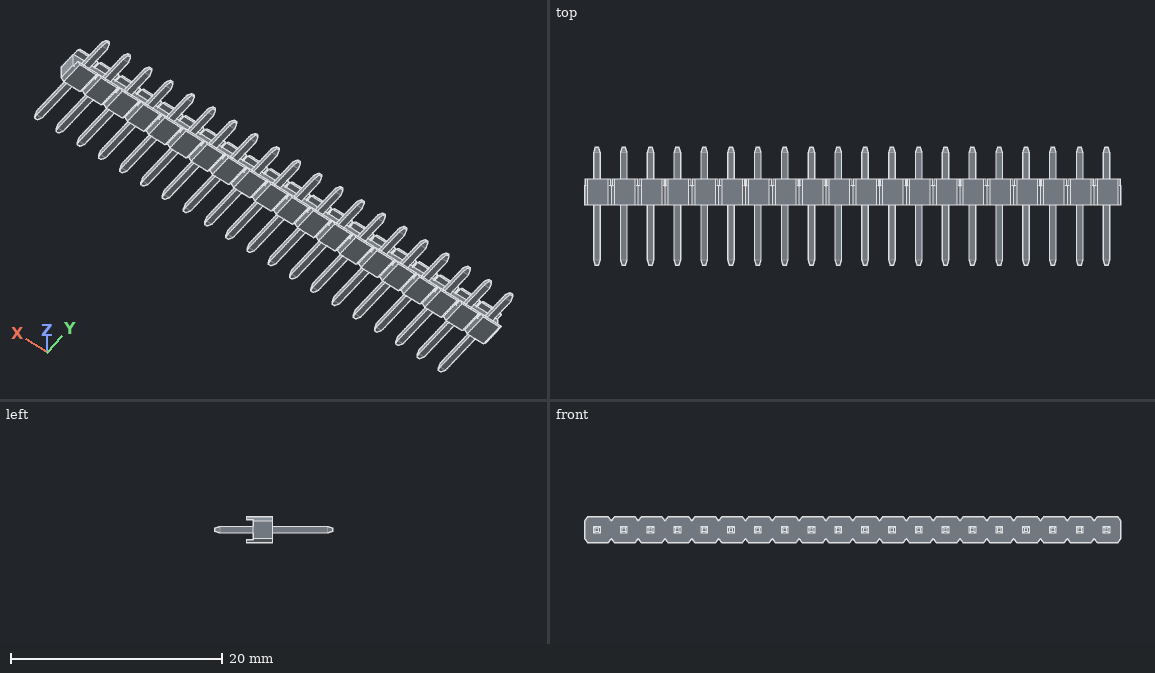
import cadquery as cq

pin_count = 20
pitch = 2.54
pin_width = 0.64
pin_offset = 1.17
front_pin_length = 5.7
back_pin_length = 3.0
tip_length = 0.53
tip_width = 0.32

housing_length = pin_count * pitch
housing_depth = 2.5
housing_height = 2.5
notch_depth = 0.4
notch_half_width = 0.3

lip_thickness = 0.32
channel_depth = 0.65

housing_left = -housing_length / 2
housing_front = -housing_depth / 2
housing_back = housing_depth / 2
pin_front = housing_front - front_pin_length
pin_back = housing_back + back_pin_length


def housing_cell(index):
    """One octagonal cell; the corners of neighbouring cells form the V notches."""
    left = housing_left + index * pitch
    right = left + pitch
    top = housing_height / 2
    shoulder = top - notch_depth
    outline = [
        (left, -shoulder),
        (left + notch_half_width, -top),
        (right - notch_half_width, -top),
        (right, -shoulder),
        (right, shoulder),
        (right - notch_half_width, top),
        (left + notch_half_width, top),
        (left, shoulder),
    ]
    back_plane = cq.Workplane("XZ", origin=(0, housing_back, 0))
    return back_plane.polyline(outline).close().extrude(housing_depth)


def back_channel():
    """Full-length channel that leaves the two lips on the +Y side."""
    channel_height = housing_height - 2 * lip_thickness
    channel_center_y = housing_back - channel_depth / 2
    return (
        cq.Workplane("XY")
        .box(housing_length, channel_depth, channel_height)
        .translate((0, channel_center_y, 0))
    )


def pin_tip(x, base_y, end_y):
    """Pyramid-shaped end of a pin, narrowing from base_y to end_y."""
    direction = 1 if end_y > base_y else -1
    base_plane = cq.Plane(origin=(x, base_y, 0), xDir=(1, 0, 0), normal=(0, direction, 0))
    return (
        cq.Workplane(base_plane)
        .rect(pin_width, pin_width)
        .workplane(offset=tip_length)
        .rect(tip_width, tip_width)
        .loft(ruled=True)
    )


def pin(index):
    """Square pin through the housing with a tapered tip at each end."""
    x = housing_left + index * pitch + pin_offset
    shaft_front = pin_front + tip_length
    shaft_back = pin_back - tip_length
    shaft = (
        cq.Workplane("XZ", origin=(x, shaft_back, 0))
        .rect(pin_width, pin_width)
        .extrude(shaft_back - shaft_front)
    )
    front_tip = pin_tip(x, shaft_front, pin_front)
    back_tip = pin_tip(x, shaft_back, pin_back)
    return shaft.union(front_tip).union(back_tip)


housing = housing_cell(0)
for cell_index in range(1, pin_count):
    housing = housing.union(housing_cell(cell_index))
housing = housing.clean().cut(back_channel())

result = housing
for pin_index in range(pin_count):
    result = result.union(pin(pin_index))